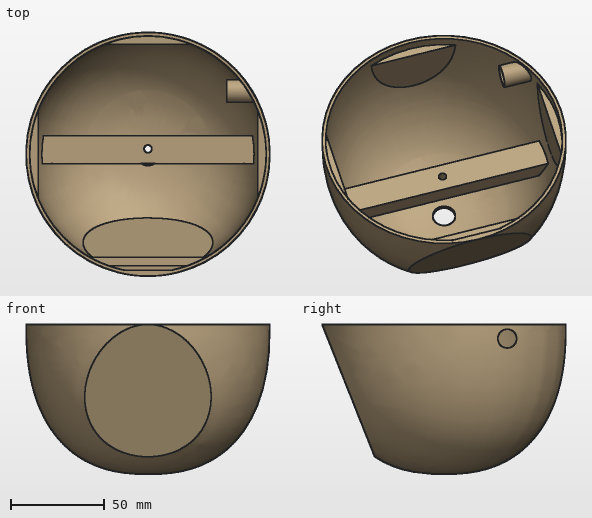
import cadquery as cq
import math

RIM_RADIUS = 65.0
BOWL_DEPTH = 79.8
WALL = 2.0
BOWL_EXPONENT = 2.4
PROFILE_STEPS = 16

FLAT_ANGLE = 21.7
FLAT_WALL = 3.0

PAD_TOP = -6.0
PAD_FACE = 58.5
FRONT_PAD_FACE = 54.9

BAR_WIDTH = 15.0
BAR_THICKNESS = 10.0
BAR_TOP = -42.2
BAR_Y = 2.5
BAR_HOLE_DIAMETER = 4.0
BAR_HOLE_Y = 2.9

FLOOR_HOLE_DIAMETER = 12.0

TUBE_OUTER_DIAMETER = 12.0
TUBE_BORE_DIAMETER = 10.0
TUBE_START_X = 41.9
TUBE_Y = 33.7
TUBE_Z = -7.5

BLOCK = 3 * RIM_RADIUS


def bowl_solid(radius, depth):
    """Solid bowl whose half profile is a superellipse quarter."""
    power = 2 / BOWL_EXPONENT
    points = []
    for step in range(PROFILE_STEPS + 1):
        angle = math.pi / 2 * step / PROFILE_STEPS
        r = radius * abs(math.cos(angle)) ** power
        z = -depth * math.sin(angle) ** power
        points.append((r, z))
    points[-1] = (0, -depth)
    return (
        cq.Workplane("XZ")
        .moveTo(*points[0])
        .spline(points[1:], tangents=[(0, -1), (-1, 0)], includeCurrent=True)
        .lineTo(0, 0)
        .close()
        .revolve(360, (0, 0), (0, 1))
    )


def behind_flat(offset):
    """Half space on the +Y side of the flat, moved inward by offset."""
    return (
        cq.Workplane("XY")
        .box(BLOCK, BLOCK, 2 * BLOCK, centered=(True, False, True))
        .translate((0, offset, 0))
        .rotate((0, 0, 0), (1, 0, 0), FLAT_ANGLE)
        .translate((0, -RIM_RADIUS, 0))
    )


def pad(face_distance, direction):
    """Block beyond an upright plane, turned about Z to the given direction."""
    return (
        cq.Workplane("XY")
        .box(RIM_RADIUS, BLOCK, BOWL_DEPTH, centered=(False, True, False))
        .translate((face_distance, 0, PAD_TOP - BOWL_DEPTH))
        .rotate((0, 0, 0), (0, 0, 1), direction)
    )


def crossbar():
    return (
        cq.Workplane("XY", origin=(0, BAR_Y, BAR_TOP - BAR_THICKNESS))
        .box(2 * RIM_RADIUS, BAR_WIDTH, BAR_THICKNESS, centered=(True, True, False))
    )


def rod_x(diameter):
    """Rod from the tube mouth out past the +X wall."""
    return (
        cq.Workplane("YZ", origin=(TUBE_START_X, TUBE_Y, TUBE_Z))
        .circle(diameter / 2)
        .extrude(RIM_RADIUS)
    )


def upright_hole(diameter, y, top):
    """Cutter reaching down from the given height through the bowl floor."""
    return (
        cq.Workplane("XY", origin=(0, y, top))
        .circle(diameter / 2)
        .extrude(-BOWL_DEPTH)
    )


outer = bowl_solid(RIM_RADIUS, BOWL_DEPTH).intersect(behind_flat(0))
cavity = bowl_solid(RIM_RADIUS - WALL, BOWL_DEPTH - WALL).intersect(behind_flat(FLAT_WALL))

for direction in (0, 90, 180):
    cavity = cavity.cut(pad(PAD_FACE, direction))
cavity = cavity.cut(pad(FRONT_PAD_FACE, 270))
cavity = cavity.cut(crossbar())
cavity = cavity.cut(rod_x(TUBE_OUTER_DIAMETER))

result = outer.cut(cavity)
result = result.cut(rod_x(TUBE_BORE_DIAMETER))
result = result.cut(upright_hole(BAR_HOLE_DIAMETER, BAR_HOLE_Y, 0))
result = result.cut(upright_hole(FLOOR_HOLE_DIAMETER, 0, BAR_TOP - BAR_THICKNESS))